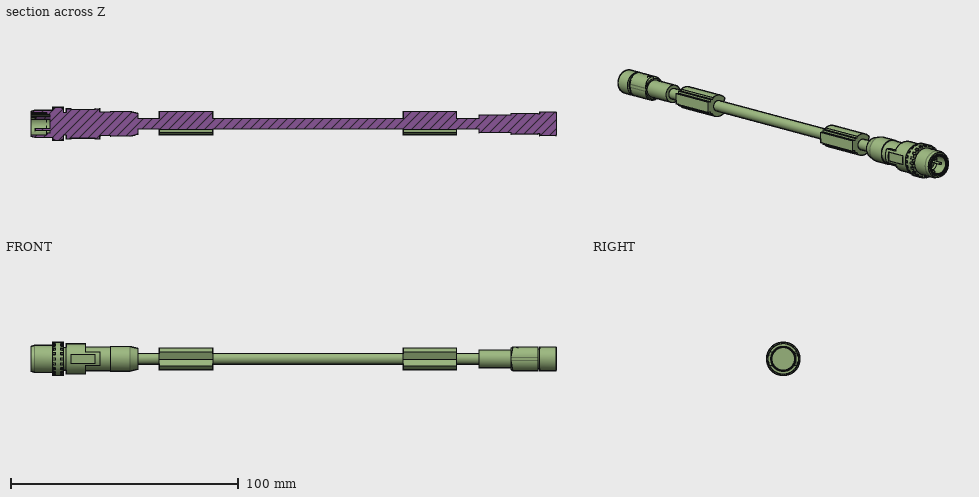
import cadquery as cq
import math

total_length = 230.8
cable_diameter = 4.8
cable_radius = cable_diameter / 2

nut_radius = 6.0
nut_tip_radius = 5.5
nut_chamfer_length = 1.6
collar_start = 9.5
collar_end = 14.3
collar_radius = 7.5
knurl_notches = 20
knurl_notch_length = 1.5
knurl_notch_depth = 0.7
knurl_notch_width = 1.0

neck_radius = 5.0
body_start = 15.5
body_radius = 6.7
body_end = 24.0
waist_radius = 5.3
grip_radius = 5.5
grip_start = 34.9
grip_taper_start = 43.5
plug_end = 47.0
grip_tip_radius = 4.6
grip_pad_end = 30.2
grip_pad_half_height = 3.0
window_start = 17.5
window_end = 28.2
window_height = 4.0
window_depth = 0.35

cavity_radius = 4.0
cavity_depth = 8.3
sleeve_gap_inner_radius = 4.5
sleeve_gap_outer_radius = 4.8
sleeve_gap_depth = 7.0
pin_radius = 0.5
pin_circle_radius = 2.5
pin_recess = 1.8
pin_angles = (0, 90, 180)
key_width = 1.2
key_height = 0.7
key_angle = -45

holder_length = 23.5
holder_starts = (56.3, 163.5)
holder_radius = 4.8
holder_back = 5.5
holder_back_half_height = 2.3
holder_shoulder = 2.8
rail_foot = 3.0
rail_edge = 4.2
rail_half_height = 3.2
mouth_top_height = 3.0
mouth_bottom_height = -0.2
lip_root = -3.7
lip_tip = -4.8
lip_tip_height = -3.2

socket_start = 196.6
sleeve_radius = 4.0
head_start = 210.7
head_half_width = 4.6
head_half_height = 5.3
head_chamfer_length = 1.0
ring_gap_start = 222.7
ring_start = 223.5
ring_gap_radius = 4.5
ring_radius = 5.3
ring_chamfer = 0.35
arrow_start = 211.2
arrow_length = 2.8
arrow_half_width = 1.5
arrow_depth = 1.0


def cylinder(start, end, radius):
    return cq.Workplane("YZ", origin=(start, 0, 0)).circle(radius).extrude(end - start)


def cone(start, end, start_radius, end_radius):
    outline = [(start, 0), (start, start_radius), (end, end_radius), (end, 0)]
    return cq.Workplane("XY").polyline(outline).close().revolve(360, (0, 0, 0), (1, 0, 0))


def box(x_range, y_range, z_range):
    size = [high - low for low, high in (x_range, y_range, z_range)]
    return cq.Workplane("XY", origin=(x_range[0], y_range[0], z_range[0])).box(*size, centered=False)


def around_axis(radius, degrees):
    angle = math.radians(degrees)
    return (radius * math.cos(angle), radius * math.sin(angle))


def knurl_notch(edge, direction):
    """Wedge at the top of the collar that runs out inward from one of its end faces."""
    outline = [
        (edge, collar_radius - knurl_notch_depth),
        (edge, collar_radius),
        (edge + direction * knurl_notch_length, collar_radius),
    ]
    return cq.Workplane("XZ").polyline(outline).close().extrude(knurl_notch_width / 2, both=True)


def knurled_collar():
    collar = cylinder(collar_start, collar_end, collar_radius)
    for notch in (knurl_notch(collar_start, 1), knurl_notch(collar_end, -1)):
        for index in range(knurl_notches):
            collar = collar.cut(notch.rotate((0, 0, 0), (1, 0, 0), index * 360 / knurl_notches))
    return collar


def plug_nut():
    nut = cone(0, nut_chamfer_length, nut_tip_radius, nut_radius)
    nut = nut.union(cylinder(nut_chamfer_length, collar_start, nut_radius))
    return nut.union(knurled_collar())


def plug_cavity():
    cavity = cylinder(0, cavity_depth, cavity_radius)
    for degrees in pin_angles:
        pin = cylinder(pin_recess, cavity_depth, pin_radius)
        cavity = cavity.cut(pin.translate((0, *around_axis(pin_circle_radius, degrees))))
    key = box(
        (0, cavity_depth),
        (cavity_radius - key_height, cavity_radius),
        (-key_width / 2, key_width / 2),
    )
    cavity = cavity.cut(key.rotate((0, 0, 0), (1, 0, 0), key_angle))
    gap = cylinder(0, sleeve_gap_depth, sleeve_gap_outer_radius)
    gap = gap.cut(cylinder(0, sleeve_gap_depth, sleeve_gap_inner_radius))
    return cavity.union(gap)


def plug_body():
    body = cylinder(collar_end, body_start, neck_radius)
    body = body.union(cylinder(body_start, body_end, body_radius))
    body = body.union(cylinder(body_end, grip_start, waist_radius))
    body = body.union(cylinder(grip_start, grip_taper_start, grip_radius))
    body = body.union(cone(grip_taper_start, plug_end, grip_radius, grip_tip_radius))

    pads = cylinder(body_end, grip_pad_end, body_radius).intersect(
        box(
            (body_end, grip_pad_end),
            (-body_radius, body_radius),
            (-grip_pad_half_height, grip_pad_half_height),
        )
    )
    body = body.union(pads)

    for side in (-1, 1):
        outer_face = side * body_radius
        inner_face = side * (body_radius - window_depth)
        window = box(
            (window_start, window_end),
            sorted((outer_face, inner_face)),
            (-window_height / 2, window_height / 2),
        )
        body = body.cut(window)
    return body


def height_on_holder(y):
    return math.sqrt(holder_radius**2 - y**2)


def label_holder(start):
    mouth_top = -math.sqrt(holder_radius**2 - mouth_top_height**2)
    shoulder_height = height_on_holder(holder_shoulder)
    profile = (
        cq.Workplane("YZ", origin=(start, 0, 0))
        .moveTo(-cable_radius, mouth_bottom_height)
        .lineTo(mouth_top, mouth_top_height)
        .threePointArc((0, holder_radius), (holder_shoulder, shoulder_height))
        .lineTo(rail_foot, rail_half_height)
        .lineTo(rail_edge, rail_half_height)
        .lineTo(rail_edge, holder_back_half_height)
        .lineTo(holder_back, holder_back_half_height)
        .lineTo(holder_back, -holder_back_half_height)
        .lineTo(rail_edge, -holder_back_half_height)
        .lineTo(rail_edge, -rail_half_height)
        .lineTo(rail_foot, -rail_half_height)
        .lineTo(holder_shoulder, -shoulder_height)
        .threePointArc((0, -holder_radius), (lip_root, -height_on_holder(lip_root)))
        .lineTo(lip_tip, lip_tip_height)
        .lineTo(lip_root, mouth_bottom_height)
        .close()
    )
    return profile.extrude(holder_length)


def socket():
    body = cylinder(socket_start, head_start, sleeve_radius)

    head = cq.Workplane("YZ", origin=(head_start, 0, 0)).slot2D(
        2 * head_half_height, 2 * head_half_width, 90
    )
    head = head.extrude(ring_gap_start - head_start)
    bevel_end = head_start + head_chamfer_length
    envelope = cone(head_start, bevel_end, head_half_width, head_half_height)
    envelope = envelope.union(cylinder(bevel_end, ring_gap_start, head_half_height))
    body = body.union(head.intersect(envelope))

    arrow = (
        cq.Workplane("XY", origin=(0, 0, head_half_height - arrow_depth))
        .moveTo(arrow_start, 0)
        .lineTo(arrow_start + arrow_length, arrow_half_width)
        .lineTo(arrow_start + arrow_length, -arrow_half_width)
        .close()
        .extrude(arrow_depth)
    )
    body = body.cut(arrow)

    body = body.union(cylinder(ring_gap_start, ring_start, ring_gap_radius))
    ring = cylinder(ring_start, total_length, ring_radius).faces(">X").chamfer(ring_chamfer)
    return body.union(ring)


result = plug_nut().union(plug_body()).cut(plug_cavity())
result = result.union(cylinder(plug_end, socket_start, cable_radius))
for holder_start in holder_starts:
    result = result.union(label_holder(holder_start))
result = result.union(socket())